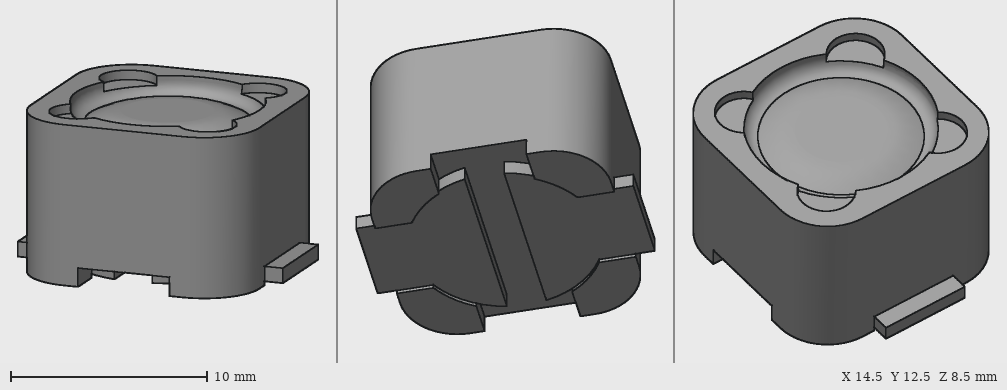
import cadquery as cq
import math

overall_length = 14.5
housing_width = 12.5
housing_height = 8.5
corner_radius = 3.0

dish_radius = 5.0
trough_radius = 4.25
trough_depth = 1.0
crown_radius = 2.38
crown_depth = trough_depth / 2
corner_pocket_radius = 1.5
corner_pocket_depth = crown_depth

channel_width = 5.0
channel_depth = 1.0
well_radius = dish_radius

terminal_thickness = 0.8
terminal_gap = 2.06


def make_dish():
    """Revolved cavity: a flat crown, a falling dome, and a round trough rising to a straight wall."""
    crown_z = housing_height - crown_depth
    trough_z = housing_height - trough_depth

    dome_run = trough_radius - crown_radius
    dome_drop = trough_depth - crown_depth
    dome_arc_radius = (dome_run**2 + dome_drop**2) / (2 * dome_drop)
    dome_half_angle = math.asin(dome_run / dome_arc_radius) / 2
    dome_middle = (
        crown_radius + dome_arc_radius * math.sin(dome_half_angle),
        crown_z - dome_arc_radius * (1 - math.cos(dome_half_angle)),
    )

    fillet_radius = dish_radius - trough_radius
    fillet_middle = (
        trough_radius + fillet_radius * math.sin(math.pi / 4),
        trough_z + fillet_radius * (1 - math.cos(math.pi / 4)),
    )

    profile = (
        cq.Workplane("XZ")
        .moveTo(0, housing_height)
        .lineTo(0, crown_z)
        .lineTo(crown_radius, crown_z)
        .threePointArc(dome_middle, (trough_radius, trough_z))
        .threePointArc(fillet_middle, (dish_radius, trough_z + fillet_radius))
        .lineTo(dish_radius, housing_height)
        .close()
    )
    return profile.revolve(360, (0, 0, 0), (0, 1, 0))


def make_corner_pockets():
    """Four shallow round pockets centred on the dish rim, one toward each corner."""
    return (
        cq.Workplane("XY", origin=(0, 0, housing_height - corner_pocket_depth))
        .polarArray(dish_radius, 45, 360, 4)
        .circle(corner_pocket_radius)
        .extrude(corner_pocket_depth)
    )


def make_underside_recess():
    """Crossing channels open to all four sides, joined by the round well."""
    base = cq.Workplane("XY")
    well = base.circle(well_radius).extrude(channel_depth)
    channel_x = base.rect(housing_width, channel_width).extrude(channel_depth)
    channel_y = base.rect(channel_width, housing_width).extrude(channel_depth)
    return well.union(channel_x).union(channel_y)


def make_housing():
    block = (
        cq.Workplane("XY")
        .rect(housing_width, housing_width)
        .extrude(housing_height)
        .edges("|Z")
        .fillet(corner_radius)
    )
    return block.cut(make_dish()).cut(make_corner_pockets()).cut(make_underside_recess())


def make_terminal(side):
    """Round plate cut off beside the gap, with a tab leading out; side is -1 or +1 along X."""
    inner_x = side * terminal_gap / 2
    outer_x = side * overall_length / 2
    chord_y = math.sqrt(well_radius**2 - inner_x**2)
    tab_half_width = channel_width / 2
    shoulder_x = side * math.sqrt(well_radius**2 - tab_half_width**2)
    arc_x = side * well_radius * math.cos(math.pi / 4)
    arc_y = well_radius * math.sin(math.pi / 4)
    return (
        cq.Workplane("XY", origin=(0, 0, channel_depth - terminal_thickness))
        .moveTo(inner_x, -chord_y)
        .threePointArc((arc_x, -arc_y), (shoulder_x, -tab_half_width))
        .lineTo(outer_x, -tab_half_width)
        .lineTo(outer_x, tab_half_width)
        .lineTo(shoulder_x, tab_half_width)
        .threePointArc((arc_x, arc_y), (inner_x, chord_y))
        .close()
        .extrude(terminal_thickness)
    )


housing = make_housing()
terminals = [make_terminal(side) for side in (-1, 1)]

result = cq.Compound.makeCompound([housing.val(), *[terminal.val() for terminal in terminals]])